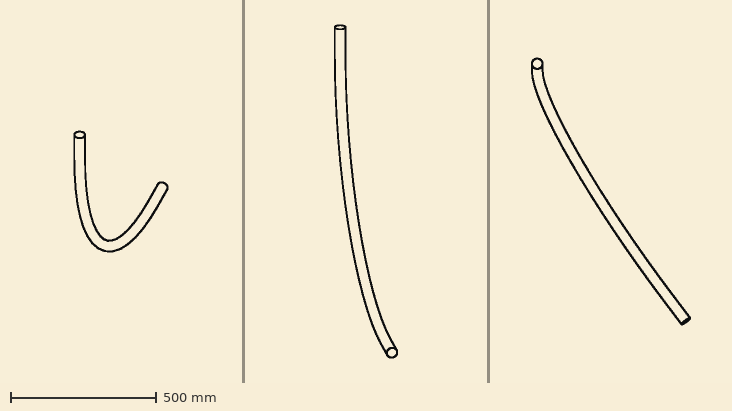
import cadquery as cq
import math

OUTER_DIAMETER = 38.1
INNER_DIAMETER = 34.9
BEND_RADIUS = 762.0
STRAIGHT_LENGTH = 101.6


def tube_centreline():
    """Path in the YZ plane: down the vertical leg, round the bend, out along +Y."""
    bend_start = (0, 0)
    mid_offset = BEND_RADIUS * math.cos(math.pi / 4)
    bend_middle = (BEND_RADIUS - mid_offset, -mid_offset)
    bend_end = (BEND_RADIUS, -BEND_RADIUS)
    return (
        cq.Workplane("YZ")
        .moveTo(0, STRAIGHT_LENGTH)
        .lineTo(*bend_start)
        .threePointArc(bend_middle, bend_end)
        .lineTo(BEND_RADIUS + STRAIGHT_LENGTH, -BEND_RADIUS)
    )


def bent_tube():
    """Ring section at the top of the vertical leg, swept along the centreline."""
    section = (
        cq.Workplane("XY")
        .workplane(offset=STRAIGHT_LENGTH)
        .circle(OUTER_DIAMETER / 2)
        .circle(INNER_DIAMETER / 2)
    )
    return section.sweep(tube_centreline())


result = bent_tube()